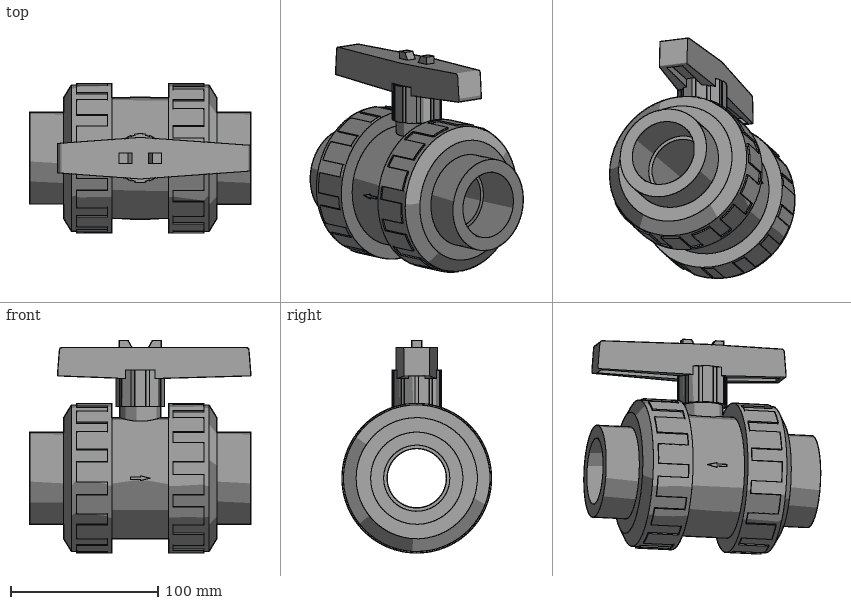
import cadquery as cq
import math


overall_length = 150.0
pipe_end_diameter = 62.5
socket_diameter = 44.8
socket_depth = 31.5
bore_diameter = 40.0

body_diameter = 82.2

nut_inner_face = 19.2
nut_outer_face = 51.9
nut_chamfer_length = 5.2
nut_diameter = 99.5
grip_diameter = 101.5
collar_start = 22.0
grip_end = 43.2
tooth_count = 14
tooth_pitch = 360 / tooth_count
tooth_angle = 15.7
first_tooth_angle = -2.9

stem_diameter = 28.0
hub_diameter = 33.3
hub_bottom = 48.5
hub_top = 73.4
groove_count = 10
groove_width = 2.5
groove_depth = 0.8

handle_top = 88.6
handle_left = -56.1
handle_right = overall_length / 2
handle_end_bottom = 69.3
handle_middle_bottom = 67.2
handle_end_slant = 1.4
handle_lip_height = 2.2
handle_middle_width = 28.2
handle_left_width = 20.0
handle_right_width = 17.4
handle_upper_round = 2.0
handle_lower_round = 0.8
channel_width = 11.2
channel_end_wall = 3.0

overall_height = 144.3
stop_top = overall_height - grip_diameter / 2
stop_width = 6.9
stop_outer = 14.2
stop_inner_top = 8.2
stop_inner_base = 5.5

arrow_length = 13.5
arrow_shaft_width = 1.5
arrow_head_width = 3.3
arrow_height = 0.5


def rod(diameter, start, end):
    """Cylinder on the flow axis from x = start to x = end."""
    return cq.Workplane("YZ").workplane(offset=start).circle(diameter / 2).extrude(end - start)


def on_circle(diameter, angle):
    """Point on a circle about the flow axis, at an angle above the -Y direction."""
    radius = diameter / 2
    return (-radius * math.cos(math.radians(angle)), radius * math.sin(math.radians(angle)))


def grip_tooth(start_angle):
    """One wide tooth of the grip, rooted inside the nut."""
    end_angle = start_angle + tooth_angle
    beyond_grip = grip_diameter + nut_diameter
    sector = (
        cq.Workplane("YZ")
        .workplane(offset=-grip_end)
        .moveTo(*on_circle(body_diameter, start_angle))
        .lineTo(*on_circle(beyond_grip, start_angle))
        .lineTo(*on_circle(beyond_grip, end_angle))
        .lineTo(*on_circle(body_diameter, end_angle))
        .close()
        .extrude(grip_end - collar_start)
    )
    return sector.intersect(rod(grip_diameter, -grip_end, -collar_start))


def union_nut():
    """Nut on the -X side: chamfered ring with a toothed grip and a plain collar."""
    nut = rod(nut_diameter, -nut_outer_face, -collar_start)
    nut = nut.faces("<X").chamfer(nut_chamfer_length, (nut_diameter - body_diameter) / 2)
    for index in range(tooth_count):
        nut = nut.union(grip_tooth(first_tooth_angle + index * tooth_pitch))
    return nut.union(rod(grip_diameter, -collar_start, -nut_inner_face))


def flow_arrow():
    """Arrow pointing to +X, raised from the -Y side of the body."""
    tail = -arrow_length / 2
    tip = arrow_length / 2
    outline = [
        (tail, arrow_shaft_width / 2),
        (0, arrow_shaft_width / 2),
        (0, arrow_head_width / 2),
        (tip, 0),
        (0, -arrow_head_width / 2),
        (0, -arrow_shaft_width / 2),
        (tail, -arrow_shaft_width / 2),
    ]
    prism = cq.Workplane("XZ").polyline(outline).close().extrude(body_diameter)
    return prism.intersect(rod(body_diameter + 2 * arrow_height, tail, tip))


def hub():
    """Stem with the grooved hub above it."""
    stem = cq.Workplane("XY").circle(stem_diameter / 2).extrude(hub_bottom)
    grip = cq.Workplane("XY").workplane(offset=hub_bottom).circle(hub_diameter / 2)
    grip = grip.extrude(hub_top - hub_bottom)
    grooves = (
        cq.Workplane("XY")
        .workplane(offset=hub_bottom)
        .polarArray(hub_diameter / 2, 0, 360, groove_count)
        .rect(2 * groove_depth, groove_width)
        .extrude(hub_top - hub_bottom)
    )
    return stem.union(grip.cut(grooves))


def handle():
    """Bar that tapers in width and depth from the middle to both ends."""
    lip_top = handle_end_bottom + handle_lip_height
    side_outline = [
        (handle_left, handle_end_bottom),
        (handle_left, lip_top),
        (handle_left + handle_end_slant, handle_top),
        (handle_right - handle_end_slant, handle_top),
        (handle_right, lip_top),
        (handle_right, handle_end_bottom),
        (0, handle_middle_bottom),
    ]
    bar = cq.Workplane("XZ").polyline(side_outline).close()
    bar = bar.extrude(handle_middle_width / 2, both=True)
    top_outline = [
        (handle_left, handle_left_width / 2),
        (0, handle_middle_width / 2),
        (handle_right, handle_right_width / 2),
        (handle_right, -handle_right_width / 2),
        (0, -handle_middle_width / 2),
        (handle_left, -handle_left_width / 2),
    ]
    bar = bar.intersect(cq.Workplane("XY").polyline(top_outline).close().extrude(stop_top))
    bar = bar.faces(">Z").edges("|Y").fillet(handle_upper_round)
    bar = bar.faces("<X or >X").edges("<Z").fillet(handle_lower_round)
    return bar.cut(handle_channel())


def handle_channel():
    """Lengthwise channel in the underside of the handle, level with the hub top."""
    start = handle_left + channel_end_wall
    end = handle_right - channel_end_wall
    return cq.Workplane("XY").box(
        end - start, channel_width, hub_top, centered=(False, True, False)
    ).translate((start, 0, 0))


def stop():
    """Stop on the +X half of the handle top, sloped on its inner side."""
    outline = [
        (stop_inner_base, handle_top),
        (stop_inner_top, stop_top),
        (stop_outer, stop_top),
        (stop_outer, handle_top),
    ]
    return cq.Workplane("XZ").polyline(outline).close().extrude(stop_width / 2, both=True)


def half_turn(shape):
    """Copy turned by 180 degrees about the stem axis."""
    return shape.rotate((0, 0, 0), (0, 0, 1), 180)


pipe_end = overall_length / 2
result = rod(body_diameter, -nut_inner_face, nut_inner_face)
result = result.union(hub()).union(handle())
for feature in (union_nut(), rod(pipe_end_diameter, -pipe_end, -nut_outer_face), stop()):
    result = result.union(feature).union(half_turn(feature))

arrow = flow_arrow()
result = result.union(arrow).union(arrow.mirror("XZ"))

result = result.cut(rod(bore_diameter, -pipe_end, pipe_end))
for socket_start in (-pipe_end, pipe_end - socket_depth):
    result = result.cut(rod(socket_diameter, socket_start, socket_start + socket_depth))